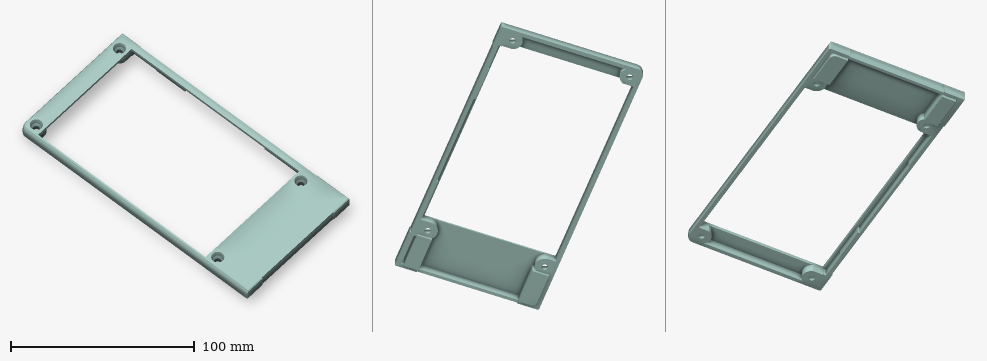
import cadquery as cq

LENGTH = 166.0
WIDTH = 83.3
BODY_HEIGHT = 6.5
FOOT_DROP = 1.5
CORNER_RADIUS = 4.5
PLATE_THICKNESS = 1.8

X_MAX = LENGTH / 2
Y_MAX = WIDTH / 2
PLATE_BOTTOM = BODY_HEIGHT - PLATE_THICKNESS

CROWN_HEIGHT = 3.2
CROWN_BEVEL_HEIGHT = 1.2
CROWN_CREASE_INSET = 0.5
CROWN_TOP_INSET = 1.3

JOINT_CHAMFER = 0.5
JOINT_RELIEF = 0.5
RELIEF_X_START = -X_MAX + 14.1
RELIEF_X_END = X_MAX - 23.2
RELIEF_HALF_WIDTH = 29.0

WINDOW_LEFT = -X_MAX + 11.6
WINDOW_RIGHT = X_MAX - 32.9
LEDGE_WIDTH = 0.5
LEDGE_DEPTH = 1.0
WINDOW_BACK = Y_MAX - 4.6
WINDOW_FRONT = -Y_MAX + 2.3

WALL = 2.3
BACK_WALL = 2.2
BACK_WALL_STRETCHES = (
    (-X_MAX + WALL, -54.5, 2.8),
    (-54.5, -33.9, 3.2),
    (23.7, X_MAX - WALL, 2.8),
)

HOLE_XS = (-76.5, 55.6)
HOLE_YS = (-35.0, 32.9)
HOLE_DIAMETER = 3.5
HEAD_DIAMETER = 7.1
SEAT_DIAMETER = 5.6
HEAD_DEPTH = 2.5
SEAT_DEPTH = 1.0
BOSS_DIAMETER = 11.0

FOOT_X = (59.5, 80.7)
FRONT_FOOT_Y = (-38.8, -29.2)
BACK_FOOT_Y = (29.0, 37.4)
FOOT_RADIUS = 3.2

OVERCUT = 1.7


def block(x_range, y_range, z_range):
    """Box between the given limits."""
    (x0, x1), (y0, y1), (z0, z1) = x_range, y_range, z_range
    return cq.Workplane("XY").box(x1 - x0, y1 - y0, z1 - z0, centered=False).translate((x0, y0, z0))


def crown_cutter():
    """Material outside the crown profile, swept along the -Y side, the round corner and the -X side."""
    path = (
        cq.Workplane("XY")
        .moveTo(X_MAX + OVERCUT, -Y_MAX)
        .lineTo(-X_MAX + CORNER_RADIUS, -Y_MAX)
        .tangentArcPoint((-X_MAX, -Y_MAX + CORNER_RADIUS), relative=False)
        .lineTo(-X_MAX, Y_MAX + OVERCUT)
    )
    seam_z = BODY_HEIGHT - CROWN_HEIGHT
    crease_z = BODY_HEIGHT - CROWN_BEVEL_HEIGHT
    arc_radius = ((crease_z - seam_z) ** 2 + CROWN_CREASE_INSET**2) / (2 * CROWN_CREASE_INSET)
    clear_z = BODY_HEIGHT + OVERCUT
    profile_plane = cq.Plane(origin=(X_MAX + OVERCUT, -Y_MAX, 0), xDir=(0, -1, 0), normal=(-1, 0, 0))
    profile = (
        cq.Workplane(profile_plane)
        .moveTo(0, seam_z)
        .radiusArc((-CROWN_CREASE_INSET, crease_z), -arc_radius)
        .lineTo(-CROWN_TOP_INSET, BODY_HEIGHT)
        .lineTo(-CROWN_TOP_INSET, clear_z)
        .lineTo(OVERCUT, clear_z)
        .lineTo(OVERCUT, seam_z)
        .close()
    )
    return profile.sweep(path)


def outer_body():
    """Solid outline with the crown and the relieved joint faces."""
    body = block((-X_MAX, X_MAX), (-Y_MAX, Y_MAX), (0, BODY_HEIGHT))
    body = body.edges("|Z and <X and <Y").fillet(CORNER_RADIUS)
    joint_top_edges = "(>Z and (>X or >Y))"
    joint_end_edges = "(|Z and ((<X and >Y) or (>X and <Y)))"
    body = body.edges(f"{joint_top_edges} or {joint_end_edges}").chamfer(JOINT_CHAMFER)
    body = body.cut(crown_cutter())
    through_z = (-OVERCUT, BODY_HEIGHT + OVERCUT)
    back_relief = block((RELIEF_X_START, RELIEF_X_END), (Y_MAX - JOINT_RELIEF, Y_MAX + OVERCUT), through_z)
    end_relief = block(
        (X_MAX - JOINT_RELIEF, X_MAX + OVERCUT), (-RELIEF_HALF_WIDTH, RELIEF_HALF_WIDTH), through_z
    )
    return body.cut(back_relief).cut(end_relief)


def window():
    """Cutter for the window, through the full height, with a narrow ledge along its right side."""
    y_range = (WINDOW_FRONT, WINDOW_BACK)
    opening = block((WINDOW_LEFT, WINDOW_RIGHT), y_range, (-OVERCUT, BODY_HEIGHT + OVERCUT))
    ledge = block(
        (WINDOW_LEFT, WINDOW_RIGHT + LEDGE_WIDTH), y_range, (BODY_HEIGHT - LEDGE_DEPTH, BODY_HEIGHT + OVERCUT)
    )
    return opening.union(ledge)


def boss(x, y):
    """Screw boss joined to the nearer long wall, wide enough to be trimmed by the window."""
    radius = BOSS_DIAMETER / 2
    wall_y = Y_MAX - BACK_WALL if y > 0 else -Y_MAX + WALL
    post = cq.Workplane("XY").center(x, y).circle(radius).extrude(PLATE_BOTTOM)
    web = block((x - radius, x + radius), (min(y, wall_y), max(y, wall_y)), (0, PLATE_BOTTOM))
    return post.union(web)


def foot(y_range):
    """Block hanging from the plate, reaching below the rim."""
    return block(FOOT_X, y_range, (-FOOT_DROP, PLATE_BOTTOM))


def screw_hole(x, y):
    """Through hole with a tapered head recess and a conical seat."""
    half_profile = (
        cq.Workplane("XZ")
        .moveTo(0, -OVERCUT)
        .lineTo(HOLE_DIAMETER / 2, -OVERCUT)
        .lineTo(HOLE_DIAMETER / 2, BODY_HEIGHT - HEAD_DEPTH - SEAT_DEPTH)
        .lineTo(SEAT_DIAMETER / 2, BODY_HEIGHT - HEAD_DEPTH)
        .lineTo(HEAD_DIAMETER / 2, BODY_HEIGHT)
        .lineTo(HEAD_DIAMETER / 2, BODY_HEIGHT + OVERCUT)
        .lineTo(0, BODY_HEIGHT + OVERCUT)
        .close()
    )
    return half_profile.revolve(360, (0, 0, 0), (0, 1, 0)).translate((x, y, 0))


hollow = block((-X_MAX + WALL, X_MAX - WALL), (-Y_MAX + WALL, Y_MAX - BACK_WALL), (-OVERCUT, PLATE_BOTTOM))
result = outer_body().cut(hollow)

for x_start, x_end, thickness in BACK_WALL_STRETCHES:
    result = result.union(block((x_start, x_end), (Y_MAX - thickness, Y_MAX - BACK_WALL), (0, PLATE_BOTTOM)))

front_foot = foot(FRONT_FOOT_Y).edges("|Z and >X and <Y").fillet(FOOT_RADIUS)
result = result.union(front_foot).union(foot(BACK_FOOT_Y))

hole_centres = [(x, y) for x in HOLE_XS for y in HOLE_YS]
for x, y in hole_centres:
    result = result.union(boss(x, y))
result = result.cut(window())
for x, y in hole_centres:
    result = result.cut(screw_hole(x, y))